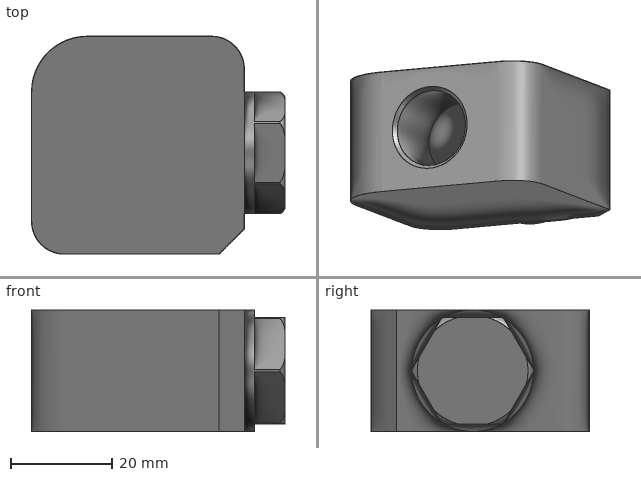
import cadquery as cq

BLOCK_LENGTH = 42.0
BLOCK_WIDTH = 43.0
BLOCK_HEIGHT = 24.0
LARGE_CORNER_RADIUS = 11.0
SMALL_CORNER_RADIUS = 6.5
CORNER_CHAMFER = 5.0

PORT_DIAMETER = 14.95
PORT_MOUTH_DIAMETER = 16.4
PORT_DEPTH = 15.0

FITTING_DIAMETER = 24.0
FITTING_FROM_SIDE = 20.0
COLLAR_LENGTH = 2.0
NUT_SIDES = 6
NUT_LENGTH = 6.0
NUT_ACROSS_FLATS = 21.0
NUT_CROWN_LENGTH = 1.0
NUT_CROWN_DEPTH = 1.1
NUT_CROWN_RADIUS = 2.0

HALF_SIDE_ANGLE = 180 / NUT_SIDES
HALF_LENGTH = BLOCK_LENGTH / 2
HALF_WIDTH = BLOCK_WIDTH / 2
FITTING_Y = FITTING_FROM_SIDE - HALF_WIDTH


def make_block():
    """Plate with three rounded vertical corners and one bevelled corner."""
    block = cq.Workplane("XY").box(BLOCK_LENGTH, BLOCK_WIDTH, BLOCK_HEIGHT)
    block = block.edges("|Z and <X and >Y").fillet(LARGE_CORNER_RADIUS)
    for corner in ((HALF_LENGTH, HALF_WIDTH, 0), (-HALF_LENGTH, -HALF_WIDTH, 0)):
        corner_edge = cq.NearestToPointSelector(corner)
        block = block.edges("|Z").edges(corner_edge).fillet(SMALL_CORNER_RADIUS)
    bevel_edge = cq.NearestToPointSelector((HALF_LENGTH, -HALF_WIDTH, 0))
    return block.edges("|Z").edges(bevel_edge).chamfer(CORNER_CHAMFER)


def make_port():
    """Cutting body of the blind port, with a 45 degree countersunk mouth."""
    mouth_chamfer = (PORT_MOUTH_DIAMETER - PORT_DIAMETER) / 2
    face = cq.Workplane("YZ", origin=(-HALF_LENGTH, 0, 0))
    bore = face.circle(PORT_DIAMETER / 2).extrude(PORT_DEPTH)
    mouth = cq.Solid.makeCone(
        PORT_MOUTH_DIAMETER / 2,
        PORT_DIAMETER / 2,
        mouth_chamfer,
        pnt=cq.Vector(-HALF_LENGTH, 0, 0),
        dir=cq.Vector(1, 0, 0),
    )
    return bore.union(mouth)


def make_collar():
    """Round collar against the +X face of the block."""
    face = cq.Workplane("YZ", origin=(HALF_LENGTH, FITTING_Y, 0))
    return face.circle(FITTING_DIAMETER / 2).extrude(COLLAR_LENGTH)


def make_nut():
    """Hexagon with flats facing +Z and -Z, trimmed at its corners to a crowned cylinder."""
    face = cq.Workplane("YZ", origin=(HALF_LENGTH + COLLAR_LENGTH, FITTING_Y, 0))
    turned_face = face.transformed(rotate=(0, 0, HALF_SIDE_ANGLE))
    outline = turned_face.polygon(NUT_SIDES, NUT_ACROSS_FLATS, circumscribed=True)
    hexagon = outline.extrude(NUT_LENGTH)

    rim_radius = FITTING_DIAMETER / 2
    half_section = (
        cq.Workplane("XY", origin=(HALF_LENGTH + COLLAR_LENGTH, FITTING_Y, 0))
        .lineTo(0, rim_radius)
        .lineTo(NUT_LENGTH - NUT_CROWN_LENGTH, rim_radius)
        .radiusArc((NUT_LENGTH, rim_radius - NUT_CROWN_DEPTH), NUT_CROWN_RADIUS)
        .lineTo(NUT_LENGTH, 0)
        .close()
    )
    crowned_cylinder = half_section.revolve(360, (0, 0, 0), (1, 0, 0))
    return hexagon.intersect(crowned_cylinder)


result = make_block().cut(make_port()).union(make_collar()).union(make_nut())